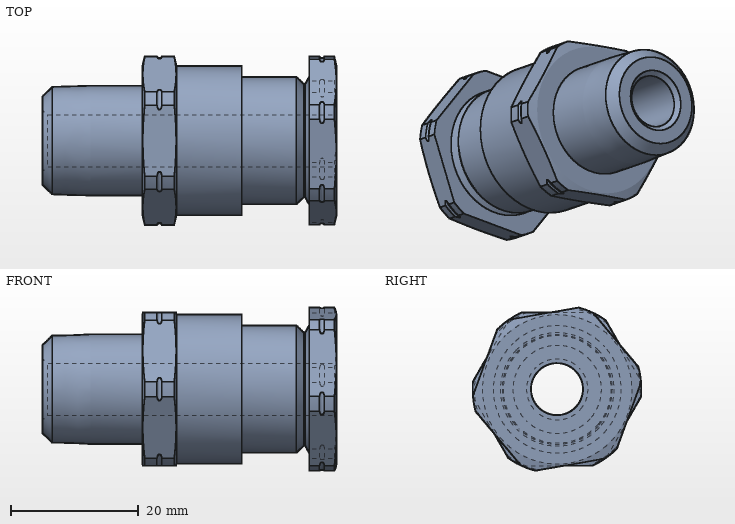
import cadquery as cq
import math

TOTAL_LENGTH = 46.0
TIP_CHAMFER_END = 1.55
TAPER_END = 7.55
COLLAR_START = 15.65
COLLAR_END = 20.98
BODY_END = 31.2
NECK_END = 39.7
CAP_START = 41.68
RELIEF_START = 40.85
RELIEF_WIDTH = 0.25

TIP_RADIUS = 6.9
TAPER_RADIUS = 8.4
THREAD_RADIUS = 8.6
BODY_RADIUS = 11.7
NECK_RADIUS = 10.0
RELIEF_RADIUS = 8.9
BORE_RADIUS = 4.05
COUNTERSINK_RADIUS = 4.8
COUNTERSINK_DEPTH = COUNTERSINK_RADIUS - BORE_RADIUS

ACROSS_FLATS = 23.95
CORNER_RADIUS = 13.2
FACE_RADIUS = 11.7
EDGE_CHAMFER = 0.35
CAP_ROTATION = 10.0

GROOVE_FLOOR_RADIUS = 12.93
GROOVE_WIDTH = 0.8
COLLAR_GROOVE_POSITION = 18.3
CAP_GROOVE_POSITION = 43.7


def revolve_about_x(points):
    """Revolve a closed (x, radius) outline about the X axis."""
    return cq.Workplane("XY").polyline(points).close().revolve(360, (0, 0, 0), (1, 0, 0))


def hex_ring(start, end, groove_position, chamfer_start):
    """Hexagon with corners on the Y axis, turned round at its corners and grooved there."""
    length = end - start
    across_corners = ACROSS_FLATS / math.cos(math.pi / 6)
    prism = cq.Workplane("YZ", origin=(start, 0, 0)).polygon(6, across_corners).extrude(length)

    outline = [(start, 0)]
    if chamfer_start:
        outline += [(start, FACE_RADIUS), (start + EDGE_CHAMFER, CORNER_RADIUS)]
    else:
        outline += [(start, CORNER_RADIUS)]
    outline += [(end - EDGE_CHAMFER, CORNER_RADIUS), (end, FACE_RADIUS), (end, 0)]

    outer_radius = across_corners / 2
    groove_start = groove_position - GROOVE_WIDTH / 2
    groove_end = groove_position + GROOVE_WIDTH / 2
    groove = (
        cq.Workplane("XY")
        .moveTo(groove_start, outer_radius)
        .lineTo(groove_start, CORNER_RADIUS)
        .threePointArc((groove_position, GROOVE_FLOOR_RADIUS), (groove_end, CORNER_RADIUS))
        .lineTo(groove_end, outer_radius)
        .close()
        .revolve(360, (0, 0, 0), (1, 0, 0))
    )
    return prism.intersect(revolve_about_x(outline)).cut(groove)


core = revolve_about_x([
    (0, 0),
    (0, TIP_RADIUS),
    (TIP_CHAMFER_END, TAPER_RADIUS),
    (TAPER_END, THREAD_RADIUS),
    (COLLAR_START, THREAD_RADIUS),
    (COLLAR_START, BODY_RADIUS),
    (BODY_END, BODY_RADIUS),
    (BODY_END, NECK_RADIUS),
    (NECK_END, NECK_RADIUS),
    (RELIEF_START, RELIEF_RADIUS),
    (RELIEF_START + RELIEF_WIDTH, RELIEF_RADIUS),
    (CAP_START, NECK_RADIUS),
    (TOTAL_LENGTH, NECK_RADIUS),
    (TOTAL_LENGTH, 0),
])

collar = hex_ring(COLLAR_START, COLLAR_END, COLLAR_GROOVE_POSITION, chamfer_start=True)
cap = hex_ring(CAP_START, TOTAL_LENGTH, CAP_GROOVE_POSITION, chamfer_start=False)
cap = cap.rotate((0, 0, 0), (1, 0, 0), CAP_ROTATION)

bore = revolve_about_x([
    (0, 0),
    (0, COUNTERSINK_RADIUS),
    (COUNTERSINK_DEPTH, BORE_RADIUS),
    (TOTAL_LENGTH, BORE_RADIUS),
    (TOTAL_LENGTH, 0),
])

result = core.union(collar).union(cap).cut(bore)